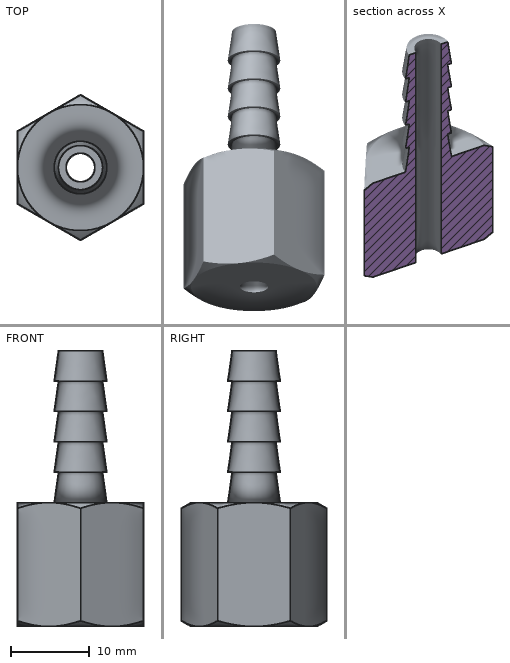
import cadquery as cq
import math

total_height = 35.0
across_flats = 16.0
hex_height = 15.7
chamfer_angle = 30.0
barb_count = 5
barb_base_diameter = 6.7
barb_tip_diameter = 5.6
bore_diameter = 3.6

flat_radius = across_flats / 2
corner_radius = flat_radius / math.cos(math.radians(30))
chamfer_height = (corner_radius - flat_radius) * math.tan(math.radians(chamfer_angle))
barb_height = (total_height - hex_height) / barb_count


def hex_body():
    """Hexagon with corners on the Y axis, its corners turned off at both ends."""
    prism = (
        cq.Workplane("XY")
        .polygon(6, 2 * corner_radius)
        .extrude(hex_height)
        .rotate((0, 0, 0), (0, 0, 1), 90)
    )
    turned_envelope = (
        cq.Workplane("XZ")
        .moveTo(0, 0)
        .lineTo(flat_radius, 0)
        .lineTo(corner_radius, chamfer_height)
        .lineTo(corner_radius, hex_height - chamfer_height)
        .lineTo(flat_radius, hex_height)
        .lineTo(0, hex_height)
        .close()
        .revolve(360, (0, 0), (0, 1))
    )
    return prism.intersect(turned_envelope)


def hose_barbs():
    """Stack of equal cones, each narrowing towards the hose end."""
    profile = cq.Workplane("XZ").moveTo(0, hex_height)
    for index in range(barb_count):
        base_z = hex_height + index * barb_height
        profile = profile.lineTo(barb_base_diameter / 2, base_z)
        profile = profile.lineTo(barb_tip_diameter / 2, base_z + barb_height)
    return profile.lineTo(0, total_height).close().revolve(360, (0, 0), (0, 1))


bore = cq.Workplane("XY").circle(bore_diameter / 2).extrude(total_height)

result = hex_body().union(hose_barbs()).cut(bore)